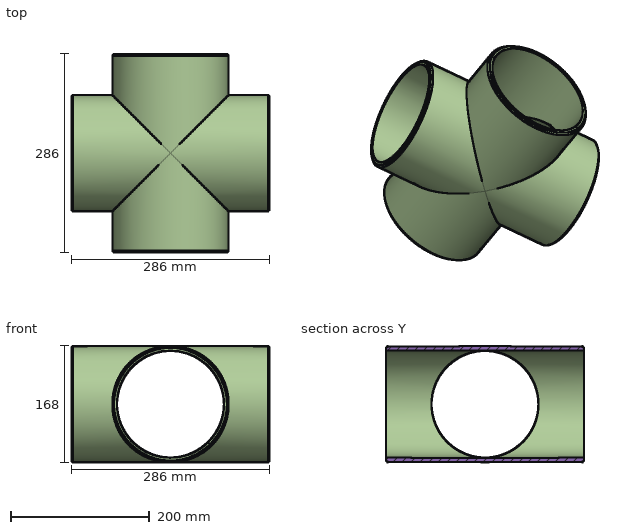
import cadquery as cq

length = 286.0
outer_diameter = 168.0
bore_diameter = 154.0
bevel_length = 2.5
bevel_depth = 2.5

outer_radius = outer_diameter / 2
bore_radius = bore_diameter / 2
half_length = length / 2


def pipe_body(plane_name):
    """Solid pipe centred on the origin, bevelled at both ends, along the plane's normal."""
    bevel_start = half_length - bevel_length
    end_radius = outer_radius - bevel_depth
    section = (
        cq.Workplane("XY")
        .moveTo(0, -half_length)
        .lineTo(end_radius, -half_length)
        .lineTo(outer_radius, -bevel_start)
        .lineTo(outer_radius, bevel_start)
        .lineTo(end_radius, half_length)
        .lineTo(0, half_length)
        .close()
    )
    body_along_y = section.revolve(360, (0, 0, 0), (0, 1, 0))
    if plane_name == "YZ":
        return body_along_y.rotate((0, 0, 0), (0, 0, 1), 90)
    return body_along_y


def bore(plane_name):
    """Through bore along the plane's normal."""
    return cq.Workplane(plane_name).circle(bore_radius).extrude(half_length, both=True)


pipe_planes = ("YZ", "XZ")

result = pipe_body(pipe_planes[0]).union(pipe_body(pipe_planes[1]))
for plane_name in pipe_planes:
    result = result.cut(bore(plane_name))